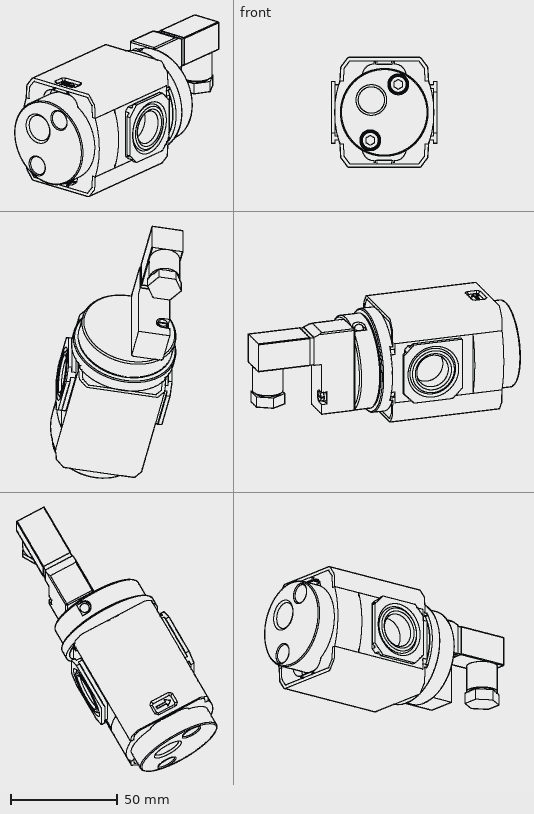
import cadquery as cq
import math


COVER_FRONT = 9.5
COVER_BACK = 64.0
HOUSING_SIDE_BACK = 65.2
FLANGE_BACK = 70.4
CAP_BACK = 81.0
OVERALL_LENGTH = 129.4

NOSE_RADIUS = 20.7
NOSE_CHAMFER = 0.5
FLANGE_RADIUS = 24.7
FLANGE_CHAMFER = 0.5
BODY_HALF_HEIGHT = 26.0
TOP_HALF_WIDTH = 17.1
SHOULDER_HALF_WIDTH = 20.6
SHOULDER_Z = 21.4
SIDE_HALF_WIDTH = 21.0
SIDE_HALF_HEIGHT = 14.9
BODY_CORNER_RADIUS = 1.3
BULGE_HALF_WIDTH = 23.4
BULGE_BACK = 24.0

BAYONET_FRONT = 62.9
BAYONET_TAB_BOTTOM = 12.2
BAYONET_TAB_TOP = 13.5
BAYONET_POCKET_BOTTOM = 9.5
SPIGOT_RADIUS = 22.9
SPIGOT_STEP = 0.3

RECESS_DEPTH = 5.2
RECESS_Z = 22.8
RECESS_FLAT_HALF_WIDTH = 5.5
RECESS_HALF_WIDTH = 10.2
RECESS_END_Z = 18.5
RECESS_SHOULDER_X = 8.5
RECESS_SHOULDER_Z = 21.4
CLIP_HALF_WIDTH = 3.4
CLIP_BOTTOM = 22.5
CLIP_LIP = 0.3
CLIP_SLOPE = 0.8
RELIEF_X = 4.4
RELIEF_WIDTH = 0.8
RELIEF_TOP = 23.7

COVER_WALL = 1.7
COVER_INNER_X = SIDE_HALF_WIDTH - COVER_WALL
LABEL_Y = 15.1
LABEL_LENGTH = 12.2
LABEL_WIDTH = 7.5
LABEL_CORNER = 1.3
LABEL_DEPTH = 1.0
LABEL_BEVEL = 1.2
ARROW_RAISE = 0.5
ARROW_HALF_LENGTH = 3.8
ARROW_HALF_SHAFT = 0.5
ARROW_HALF_HEAD = 1.8
ARROW_HEAD_LENGTH = 2.5

PORT_Y = 45.2
PORT_PLATE = 29.2
PORT_FACE_X = 25.0
PORT_PLATE_THICKNESS = 1.8
PORT_CHAMFER = 4.9
PORT_ROUND = 0.6
PORT_NECK_INSET = 1.5
PORT_BORE_RADIUS = 7.9
PORT_BORE_DEPTH = 9.0
PORT_MOUTH_RADIUS = 9.0
PORT_GROOVE_INNER = 10.5
PORT_GROOVE_VALLEY = 11.4
PORT_GROOVE_OUTER = 12.7
PORT_GROOVE_DEPTH = 0.9

NOSE_BORE_X = -6.1
NOSE_BORE_Z = 5.8
NOSE_BORE_RADIUS = 6.2
NOSE_BORE_DEPTH = 18.1
NOSE_MOUTH_CHAMFER = 1.0
SCREW_X = 6.6
SCREW_Z = 13.2
SCREW_HOLE_RADIUS = 4.4
SCREW_HOLE_CHAMFER = 0.5
SCREW_SEAT_Y = 16.8
SCREW_HEAD_RADIUS = 4.1
SCREW_HEAD_CHAMFER = 0.4
SCREW_HEAD_HEIGHT = 3.9
SCREW_SOCKET_ACROSS = 4.0
SCREW_SOCKET_DEPTH = 2.1
SCREW_SHANK_RADIUS = 2.1
SCREW_SHANK_LENGTH = 10.4

CAP_RADIUS = 22.6
CAP_CHAMFER = 0.8
CAP_GROOVE_WIDTH = 0.6
CAP_GROOVE_DEPTH = 0.5
BUTTON_Y = 76.6
BUTTON_POCKET_RADIUS = 3.0
BUTTON_POCKET_FLOOR = 19.7
BUTTON_RADIUS = 2.2

VALVE_X = -8.5
VALVE_WIDTH = 15.0
VALVE_TOP = 22.8
VALVE_BOTTOM = -18.1
VALVE_BACK = 97.8
VALVE_EDGE = 0.6
ARM_TOP = 21.1
ARM_BOTTOM = 7.0
SLOPE_START = 97.6
NECK_FRONT = 101.7
NECK_BACK = 103.6
NECK_INSET = 0.3
ARM_FILLET = 0.8
PLUG_EDGE = 0.4
OVERRIDE_X = -12.7
OVERRIDE_Z = -10.2
OVERRIDE_POCKET_RADIUS = 3.0
OVERRIDE_DEPTH = 2.7
OVERRIDE_RADIUS = 2.6
OVERRIDE_COLLAR = 1.2
OVERRIDE_STEP = 0.4
OVERRIDE_SLOT = 0.5
SLEEVE_RADIUS = 7.2
SLEEVE_BOTTOM = -5.7
SLEEVE_NECK_RADIUS = 6.1
NUT_TOP = -6.7
NUT_BOTTOM = -11.9
NUT_ACROSS = 14.1


def block(x_range, y_range, z_range):
    """Box between two limits on each axis."""
    corner_low, corner_high = zip(x_range, y_range, z_range)
    size = [high - low for low, high in zip(corner_low, corner_high)]
    return cq.Workplane("XY").box(*size, centered=False).translate(corner_low)


def facing_back(y):
    """XZ workplane at the given Y; a negative extrusion runs toward +Y."""
    return cq.Workplane("XZ", origin=(0, y, 0))


def disc(radius, y_start, y_end, x=0, z=0):
    """Cylinder along Y."""
    return facing_back(y_start).center(x, z).circle(radius).extrude(y_start - y_end)


def upside_down(shape):
    """Half-turn about the Y axis."""
    return shape.rotate((0, 0, 0), (0, 1, 0), 180)


def hexagon_diameter(across_flats):
    return across_flats / math.cos(math.pi / 6)


def body_section():
    """Outer section of the housing with its covers."""
    right_side = [
        (SIDE_HALF_WIDTH, -SIDE_HALF_HEIGHT),
        (SIDE_HALF_WIDTH, SIDE_HALF_HEIGHT),
        (SHOULDER_HALF_WIDTH, SHOULDER_Z),
        (TOP_HALF_WIDTH, BODY_HALF_HEIGHT),
    ]
    upper = right_side[1:]
    points = upper + [(-x, z) for x, z in reversed(upper)]
    points += [(-x, -z) for x, z in upper] + [(x, -z) for x, z in reversed(upper)]
    return facing_back(COVER_FRONT).polyline(points).close()


def body_envelope():
    """Outside of the covers, with all the shoulder edges rounded."""
    margin = 1.3
    shoulders = cq.selectors.BoxSelector(
        (-SIDE_HALF_WIDTH, COVER_FRONT, SIDE_HALF_HEIGHT + margin),
        (SIDE_HALF_WIDTH, COVER_BACK, BODY_HALF_HEIGHT + margin),
    )
    envelope = body_section().extrude(COVER_FRONT - COVER_BACK)
    rounded = envelope.edges("|Y").edges(shoulders).fillet(BODY_CORNER_RADIUS)
    return rounded.intersect(upside_down(rounded))


def body_core():
    """Inside of the covers."""
    return body_section().offset2D(-COVER_WALL, "intersection").extrude(COVER_FRONT - COVER_BACK)




def label_recess():
    """Bevelled label pocket with a raised flow arrow, in the cover top."""
    half_length, half_width = LABEL_LENGTH / 2, LABEL_WIDTH / 2
    right_end = [
        (half_length - LABEL_CORNER, -half_width),
        (half_length, LABEL_CORNER - half_width),
        (half_length, half_width - LABEL_CORNER),
        (half_length - LABEL_CORNER, half_width),
    ]
    left_end = [(-x, -y) for x, y in right_end]
    wall_angle = math.degrees(math.atan(LABEL_BEVEL / LABEL_DEPTH))
    pocket = (
        cq.Workplane("XY", origin=(0, LABEL_Y, BODY_HALF_HEIGHT))
        .polyline(right_end + left_end)
        .close()
        .extrude(-LABEL_DEPTH, taper=wall_angle)
    )
    neck_x = ARROW_HALF_LENGTH - ARROW_HEAD_LENGTH
    arrow = (
        cq.Workplane("XY", origin=(0, LABEL_Y, BODY_HALF_HEIGHT - LABEL_DEPTH))
        .moveTo(-ARROW_HALF_LENGTH, -ARROW_HALF_SHAFT)
        .lineTo(neck_x, -ARROW_HALF_SHAFT)
        .lineTo(neck_x, -ARROW_HALF_HEAD)
        .lineTo(ARROW_HALF_LENGTH, 0)
        .lineTo(neck_x, ARROW_HALF_HEAD)
        .lineTo(neck_x, ARROW_HALF_SHAFT)
        .lineTo(-ARROW_HALF_LENGTH, ARROW_HALF_SHAFT)
        .close()
        .extrude(ARROW_RAISE)
    )
    return pocket.cut(arrow)


def clip():
    """Sloping tongue under the front edge of the upper cover."""
    inside_z = BODY_HALF_HEIGHT - COVER_WALL
    back = COVER_FRONT + RECESS_DEPTH
    return (
        cq.Workplane("YZ", origin=(-CLIP_HALF_WIDTH, 0, 0))
        .moveTo(COVER_FRONT, inside_z)
        .lineTo(COVER_FRONT + CLIP_SLOPE, CLIP_BOTTOM + CLIP_LIP)
        .lineTo(COVER_FRONT + CLIP_SLOPE + CLIP_LIP, CLIP_BOTTOM)
        .lineTo(back, CLIP_BOTTOM)
        .lineTo(back, inside_z)
        .close()
        .extrude(2 * CLIP_HALF_WIDTH)
    )


def bayonet_tab(side):
    """Hook at the rear end of one leg of the upper cover."""
    x_range = sorted((side * COVER_INNER_X, side * SIDE_HALF_WIDTH))
    hook = block(x_range, (BAYONET_FRONT, COVER_BACK), (BAYONET_TAB_BOTTOM, SIDE_HALF_HEIGHT))
    toe = block(x_range, (COVER_BACK, HOUSING_SIDE_BACK), (BAYONET_TAB_BOTTOM, BAYONET_TAB_TOP))
    return hook.union(toe)


def make_cover():
    """Upper U-shaped cover."""
    above_legs = block(
        (-SIDE_HALF_WIDTH, SIDE_HALF_WIDTH),
        (COVER_FRONT, COVER_BACK),
        (SIDE_HALF_HEIGHT, BODY_HALF_HEIGHT),
    )
    cover = body_envelope().cut(body_core()).intersect(above_legs)
    cover = cover.union(clip())
    for side in (-1, 1):
        cover = cover.union(bayonet_tab(side))
    return cover




def housing_sides():
    """Flat side walls, bulged outward near the front."""
    walls = block(
        (-SIDE_HALF_WIDTH, SIDE_HALF_WIDTH),
        (COVER_FRONT, COVER_BACK),
        (-SIDE_HALF_HEIGHT, SIDE_HALF_HEIGHT),
    )
    rear_ends = block(
        (-SIDE_HALF_WIDTH, SIDE_HALF_WIDTH),
        (COVER_BACK, HOUSING_SIDE_BACK),
        (-BAYONET_TAB_BOTTOM, BAYONET_TAB_BOTTOM),
    )
    bulge = (
        facing_back(COVER_FRONT)
        .moveTo(SIDE_HALF_WIDTH, -SIDE_HALF_HEIGHT)
        .threePointArc((BULGE_HALF_WIDTH, 0), (SIDE_HALF_WIDTH, SIDE_HALF_HEIGHT))
        .lineTo(-SIDE_HALF_WIDTH, SIDE_HALF_HEIGHT)
        .threePointArc((-BULGE_HALF_WIDTH, 0), (-SIDE_HALF_WIDTH, -SIDE_HALF_HEIGHT))
        .close()
        .extrude(COVER_FRONT - BULGE_BACK)
    )
    return walls.union(rear_ends).union(bulge)


def flange():
    """Round flange, cut back at both sides; the spigot inside it stands slightly proud there."""
    step_back = HOUSING_SIDE_BACK + SPIGOT_STEP
    ring = disc(FLANGE_RADIUS, COVER_BACK, FLANGE_BACK).faces(">Y").chamfer(FLANGE_CHAMFER)
    for side in (-1, 1):
        x_range = sorted((side * COVER_INNER_X, side * PORT_FACE_X))
        ring = ring.cut(
            block(x_range, (COVER_BACK, step_back), (-BAYONET_TAB_TOP, BAYONET_TAB_TOP))
        )
    spigot = disc(SPIGOT_RADIUS, HOUSING_SIDE_BACK, FLANGE_BACK)
    return ring.union(spigot)


def bayonet_pockets():
    """Four pockets in the side walls, bottomed on the spigot cylinder."""
    pockets = cq.Workplane("XY")
    for x_sign in (-1, 1):
        for z_sign in (-1, 1):
            x_range = sorted((x_sign * COVER_INNER_X, x_sign * SIDE_HALF_WIDTH))
            z_range = sorted((z_sign * BAYONET_POCKET_BOTTOM, z_sign * BAYONET_TAB_BOTTOM))
            pockets = pockets.add(block(x_range, (BAYONET_FRONT, HOUSING_SIDE_BACK), z_range))
    return pockets.combine().cut(disc(SPIGOT_RADIUS, BAYONET_FRONT, HOUSING_SIDE_BACK))


def nose_recess():
    """Shallow recess above the nose, with two small reliefs beside the clip."""
    recess = (
        facing_back(COVER_FRONT)
        .moveTo(-RECESS_HALF_WIDTH, 0)
        .lineTo(-RECESS_HALF_WIDTH, RECESS_END_Z)
        .threePointArc(
            (-RECESS_SHOULDER_X, RECESS_SHOULDER_Z), (-RECESS_FLAT_HALF_WIDTH, RECESS_Z)
        )
        .lineTo(RECESS_FLAT_HALF_WIDTH, RECESS_Z)
        .threePointArc(
            (RECESS_SHOULDER_X, RECESS_SHOULDER_Z), (RECESS_HALF_WIDTH, RECESS_END_Z)
        )
        .lineTo(RECESS_HALF_WIDTH, 0)
        .close()
        .extrude(-RECESS_DEPTH)
        .cut(disc(NOSE_RADIUS, COVER_FRONT, COVER_FRONT + RECESS_DEPTH))
    )
    for side in (-1, 1):
        center_x = side * RELIEF_X
        recess = recess.union(
            block(
                (center_x - RELIEF_WIDTH / 2, center_x + RELIEF_WIDTH / 2),
                (COVER_FRONT, COVER_FRONT + RECESS_DEPTH),
                (RECESS_Z, RELIEF_TOP),
            )
        )
    return recess


def port_boss(side):
    """Bevelled square plate on a smaller neck, the bevels of both in line.

    The -X port keeps its upper front corner nearly square.
    """
    boss = None
    plate_x = PORT_FACE_X - PORT_PLATE_THICKNESS
    neck_size = PORT_PLATE - 2 * PORT_NECK_INSET
    layers = [(PORT_PLATE, plate_x, PORT_FACE_X), (neck_size, COVER_INNER_X, plate_x)]
    for size, inner, outer in layers:
        bevel = PORT_CHAMFER - (PORT_PLATE - size)
        x_range = sorted((side * inner, side * outer))
        half = size / 2
        layer = block(x_range, (PORT_Y - half, PORT_Y + half), (-half, half))
        if side < 0:
            layer = layer.edges("|X and <Y and >Z").fillet(PORT_ROUND)
            layer = layer.edges("|X and (>Y or <Z)").chamfer(bevel)
        else:
            layer = layer.edges("|X").chamfer(bevel)
        boss = layer if boss is None else boss.union(layer)
    return boss


def port_cut(side):
    """Blind bore with a flared mouth and a V groove around it."""
    flare = PORT_MOUTH_RADIUS - PORT_BORE_RADIUS
    bore = (
        cq.Workplane("XY", origin=(0, PORT_Y, 0))
        .moveTo(PORT_FACE_X, 0)
        .lineTo(PORT_FACE_X, PORT_MOUTH_RADIUS)
        .lineTo(PORT_FACE_X - flare, PORT_BORE_RADIUS)
        .lineTo(PORT_FACE_X - PORT_BORE_DEPTH, PORT_BORE_RADIUS)
        .lineTo(PORT_FACE_X - PORT_BORE_DEPTH, 0)
        .close()
        .revolve(360, (0, 0, 0), (1, 0, 0))
    )
    groove = (
        cq.Workplane("XY", origin=(0, PORT_Y, 0))
        .moveTo(PORT_FACE_X, PORT_GROOVE_INNER)
        .lineTo(PORT_FACE_X - PORT_GROOVE_DEPTH, PORT_GROOVE_VALLEY)
        .lineTo(PORT_FACE_X, PORT_GROOVE_OUTER)
        .close()
        .revolve(360, (0, 0, 0), (1, 0, 0))
    )
    cutter = bore.union(groove)
    return cutter if side > 0 else cutter.mirror("YZ")


def screw_places():
    return [(SCREW_X, SCREW_Z), (-SCREW_X, -SCREW_Z)]


def nose_hole(x, z, radius, depth, mouth_chamfer):
    """Blind hole in the nose face with a chamfered mouth."""
    hole = disc(radius, 0, depth, x, z)
    mouth = cq.Workplane(
        cq.Solid.makeCone(
            radius + mouth_chamfer, radius, mouth_chamfer, cq.Vector(x, 0, z), cq.Vector(0, 1, 0)
        )
    )
    return hole.union(mouth)


def make_housing(covers):
    nose = disc(NOSE_RADIUS, 0, COVER_BACK).faces("<Y").chamfer(NOSE_CHAMFER)
    housing = body_core().union(nose).union(housing_sides()).union(flange())
    housing = housing.cut(bayonet_pockets())
    for recess in (nose_recess(), upside_down(nose_recess())):
        housing = housing.cut(recess)
    for side in (-1, 1):
        housing = housing.union(port_boss(side))
    for side in (-1, 1):
        housing = housing.cut(port_cut(side))
    housing = housing.cut(
        nose_hole(NOSE_BORE_X, NOSE_BORE_Z, NOSE_BORE_RADIUS, NOSE_BORE_DEPTH, NOSE_MOUTH_CHAMFER)
    )
    for x, z in screw_places():
        housing = housing.cut(
            nose_hole(x, z, SCREW_HOLE_RADIUS, SCREW_SEAT_Y, SCREW_HOLE_CHAMFER)
        )
        shank_end = SCREW_SEAT_Y + SCREW_SHANK_LENGTH
        housing = housing.cut(disc(SCREW_SHANK_RADIUS, SCREW_SEAT_Y, shank_end, x, z))
    for cover in covers:
        housing = housing.cut(cover)
    return housing




def make_screw(x, z):
    """Socket head screw seated in the bottom of a nose hole."""
    head_front = SCREW_SEAT_Y - SCREW_HEAD_HEIGHT
    head = disc(SCREW_HEAD_RADIUS, head_front, SCREW_SEAT_Y, x, z)
    head = head.faces("<Y").chamfer(SCREW_HEAD_CHAMFER)
    shank = disc(SCREW_SHANK_RADIUS, SCREW_SEAT_Y, SCREW_SEAT_Y + SCREW_SHANK_LENGTH, x, z)
    socket = (
        facing_back(head_front)
        .center(x, z)
        .transformed(rotate=(0, 0, 30))
        .polygon(6, hexagon_diameter(SCREW_SOCKET_ACROSS))
        .extrude(-SCREW_SOCKET_DEPTH)
    )
    return head.union(shank).cut(socket)




def make_cap():
    """Round cap with a parting groove and a domed button in a pocket."""
    groove_back = FLANGE_BACK + CAP_GROOVE_WIDTH
    spigot = disc(CAP_RADIUS - CAP_GROOVE_DEPTH, FLANGE_BACK, groove_back)
    cap = disc(CAP_RADIUS, groove_back, CAP_BACK).faces(">Y").chamfer(CAP_CHAMFER).union(spigot)
    pocket_top = CAP_RADIUS
    pocket = (
        cq.Workplane("XY", origin=(VALVE_X, BUTTON_Y, BUTTON_POCKET_FLOOR))
        .circle(BUTTON_POCKET_RADIUS)
        .extrude(pocket_top - BUTTON_POCKET_FLOOR)
    )
    open_side = block(
        (-CAP_RADIUS, VALVE_X),
        (BUTTON_Y - BUTTON_POCKET_RADIUS, BUTTON_Y + BUTTON_POCKET_RADIUS),
        (BUTTON_POCKET_FLOOR, pocket_top),
    )
    button = cq.Workplane("XY", origin=(VALVE_X, BUTTON_Y, BUTTON_POCKET_FLOOR)).sphere(
        BUTTON_RADIUS
    )
    return cap.cut(pocket).cut(open_side).union(button)




def valve_slice(y_range, z_range, inset=0.0):
    half_width = VALVE_WIDTH / 2 - inset
    bottom, top = z_range
    return block(
        (VALVE_X - half_width, VALVE_X + half_width), y_range, (bottom + inset, top - inset)
    )


def pilot_block():
    """Upright block on the cap, sloping down into the connector arm."""
    half_width = VALVE_WIDTH / 2
    outline = [
        (CAP_BACK, VALVE_BOTTOM),
        (VALVE_BACK, VALVE_BOTTOM),
        (VALVE_BACK, ARM_BOTTOM),
        (NECK_FRONT, ARM_BOTTOM),
        (NECK_FRONT, ARM_TOP),
        (SLOPE_START, VALVE_TOP),
        (CAP_BACK, VALVE_TOP),
    ]
    pilot = (
        cq.Workplane("YZ", origin=(VALVE_X - half_width, 0, 0))
        .polyline(outline)
        .close()
        .extrude(VALVE_WIDTH)
    )
    inner_corner = cq.selectors.NearestToPointSelector((VALVE_X, VALVE_BACK, ARM_BOTTOM))
    pilot = pilot.edges("|X").edges(inner_corner).fillet(ARM_FILLET)
    pilot = pilot.edges(">Z").edges("|Y").chamfer(VALVE_EDGE)
    return pilot.faces("<Y").edges("not <Z").chamfer(VALVE_EDGE)


def override_pocket():
    """Round pocket in the back of the pilot block, open toward -X."""
    floor_y = VALVE_BACK - OVERRIDE_DEPTH
    bore = disc(OVERRIDE_POCKET_RADIUS, floor_y, VALVE_BACK, OVERRIDE_X, OVERRIDE_Z)
    open_side = block(
        (VALVE_X - VALVE_WIDTH / 2, OVERRIDE_X),
        (floor_y, VALVE_BACK),
        (OVERRIDE_Z - OVERRIDE_POCKET_RADIUS, OVERRIDE_Z + OVERRIDE_POCKET_RADIUS),
    )
    return bore.union(open_side)


def manual_override():
    """Slotted button, two diameters, standing in its pocket."""
    floor_y = VALVE_BACK - OVERRIDE_DEPTH
    collar_back = floor_y + OVERRIDE_COLLAR
    collar = disc(OVERRIDE_RADIUS, floor_y, collar_back, OVERRIDE_X, OVERRIDE_Z)
    stem = disc(OVERRIDE_RADIUS - OVERRIDE_STEP, floor_y, VALVE_BACK, OVERRIDE_X, OVERRIDE_Z)
    slot = block(
        (OVERRIDE_X - OVERRIDE_RADIUS, OVERRIDE_X + OVERRIDE_RADIUS),
        (collar_back, VALVE_BACK),
        (OVERRIDE_Z - OVERRIDE_SLOT / 2, OVERRIDE_Z + OVERRIDE_SLOT / 2),
    )
    return collar.union(stem).cut(slot)


def cable_gland():
    """Round sleeve under the arm, a short neck and a hexagonal nut."""
    center = (VALVE_X, OVERALL_LENGTH - SLEEVE_RADIUS)
    sections = [
        (SLEEVE_RADIUS, SLEEVE_BOTTOM, ARM_BOTTOM),
        (SLEEVE_NECK_RADIUS, NUT_TOP, SLEEVE_BOTTOM),
    ]
    nut = (
        cq.Workplane("XY", origin=(*center, NUT_BOTTOM))
        .polygon(6, hexagon_diameter(NUT_ACROSS))
        .extrude(NUT_TOP - NUT_BOTTOM)
    )
    gland = nut
    for radius, bottom, top in sections:
        gland = gland.union(
            cq.Workplane("XY", origin=(*center, bottom)).circle(radius).extrude(top - bottom)
        )
    return gland


def make_valve():
    arm_z = (ARM_BOTTOM, ARM_TOP)
    neck = valve_slice((NECK_FRONT, NECK_BACK), arm_z, NECK_INSET)
    plug = valve_slice((NECK_BACK, OVERALL_LENGTH), arm_z).edges("|Y").chamfer(PLUG_EDGE)
    valve = pilot_block().cut(override_pocket()).union(manual_override())
    return valve.union(neck).union(plug).union(cable_gland())



plain_cover = make_cover()
covers = [plain_cover.cut(label_recess()), upside_down(plain_cover)]
housing = make_housing([plain_cover, upside_down(plain_cover)])
screws = [make_screw(x, z) for x, z in screw_places()]
cap = make_cap()
valve = make_valve()

result = cq.Compound.makeCompound(
    [
        housing.val(),
        *[cover.val() for cover in covers],
        *[screw.val() for screw in screws],
        cap.val(),
        valve.val(),
    ]
)